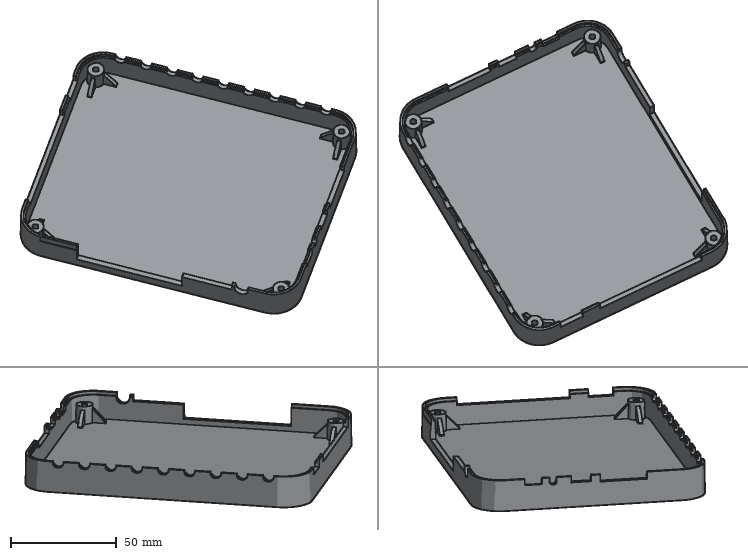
import cadquery as cq
import math

LENGTH = 138.33
WIDTH = 112.64
HEIGHT = 15.08
DRAFT = 1.0
CORNER_RADIUS = 13.8

WALL_AT_FLOOR = 2.7
FLOOR = 2.0
LIP_DEPTH = 1.5
LIP_FROM_OUTSIDE = 1.5

POST_X = 60.75
POST_Y = 47.9
POST_DIAMETER = 8.4
POST_TOP = 10.6
POST_DRAFT = 2.0
SCREW_DIAMETER = 2.8
RIB_THICKNESS = 2.1
RIB_REACH = 10.4
RIB_TOP = 8.8
RIB_TIP_HEIGHT = 0.5
RIB_DRAFT = 1.0

NOTCH_FLOOR = HEIGHT - 3.5
SHALLOW_NOTCH_FLOOR = HEIGHT - 3.0

FRONT_WINDOW_START = -37.75
FRONT_WINDOW_END = 14.25
FRONT_WINDOW_FLOOR = HEIGHT - 10.5
FRONT_NOTCH_END = 38.75
FRONT_ROUND_X = 43.5
FRONT_ROUND_DIAMETER = 6.5
FRONT_ROUND_FLOOR = HEIGHT - 5.0
FRONT_TOOTH_TOP = HEIGHT - 0.75

RELIEF_START = -55.75
RELIEF_DEPTH = 0.15

LEFT_NOTCHES = [(26.25, 38.25), (-37.25, 17.25)]

RIGHT_DEEP_NOTCH = (3.25, 25.75)
RIGHT_SHALLOW_NOTCH = (-10.75, -1.25)
RIGHT_STEPPED_NOTCH = (-33.25, -24.75)
STEPPED_NOTCH_RADIUS = 1.0
RIGHT_ROUND_Y = -19.5
RIGHT_ROUND_DIAMETER = 3.5

SCALLOP_COUNT = 9
SCALLOP_PITCH = 12.7
SCALLOP_DIAMETER = 5.25
SCALLOP_FLOOR = HEIGHT - 2.8

CUTTER_SPAN = 8.0
CLEARANCE = 1.0

WALL_SLOPE = math.tan(math.radians(DRAFT))
HALF_LENGTH = LENGTH / 2
HALF_WIDTH = WIDTH / 2
LIP_BASE = HEIGHT - LIP_DEPTH


def rounded_plate(inset, bottom, height, taper=0.0):
    """Rounded rectangle inset from the base outline, extruded upwards."""
    plate = cq.Workplane("XY", origin=(0, 0, bottom)).sketch()
    plate = plate.rect(LENGTH - 2 * inset, WIDTH - 2 * inset)
    plate = plate.vertices().fillet(CORNER_RADIUS - inset).finalize()
    return plate.extrude(height, taper=taper)


def box(x_range, y_range, z_range):
    """Axis-aligned block given by its limits."""
    size = [high - low for low, high in (x_range, y_range, z_range)]
    corner = (x_range[0], y_range[0], z_range[0])
    return cq.Workplane("XY", origin=corner).box(*size, centered=False)


def through_front(x_range, floor):
    """Notch cutter for the front wall, open at the rim."""
    y_range = (-HALF_WIDTH - CUTTER_SPAN / 2, -HALF_WIDTH + CUTTER_SPAN / 2)
    return box(x_range, y_range, (floor, HEIGHT + CLEARANCE))


def through_side(side, y_range, floor):
    """Notch cutter for the left (side = -1) or right (side = 1) wall."""
    middle = side * HALF_LENGTH
    x_range = (middle - CUTTER_SPAN / 2, middle + CUTTER_SPAN / 2)
    return box(x_range, y_range, (floor, HEIGHT + CLEARANCE))


def round_slot(plane, wall_origin, diameter, floor):
    """U-shaped cutter: half-round bottom and straight sides, open at the rim."""
    radius = diameter / 2
    top = HEIGHT + CLEARANCE
    profile = cq.Workplane(plane, origin=wall_origin).moveTo(-radius, top).lineTo(-radius, floor + radius)
    profile = profile.threePointArc((0, floor), (radius, floor + radius)).lineTo(radius, top).close()
    return profile.extrude(CUTTER_SPAN / 2, both=True)


def make_tray():
    outside = rounded_plate(0, 0, HEIGHT, DRAFT)
    cavity = rounded_plate(WALL_AT_FLOOR, FLOOR, HEIGHT, -DRAFT)
    return outside.cut(cavity)


def make_lip_step():
    """Cutter that lowers the inner part of the rim, leaving a thin outer lip."""
    return rounded_plate(LIP_FROM_OUTSIDE, LIP_BASE, HEIGHT)


def make_rib(x, y, angle):
    """Sloping rib from a post at (x, y) down to the floor, thinning upwards."""
    blade = cq.Workplane("XY", origin=(0, 0, FLOOR)).rect(2 * RIB_REACH, RIB_THICKNESS)
    blade = blade.extrude(RIB_TOP - FLOOR, taper=RIB_DRAFT)
    slope = cq.Workplane("XZ").moveTo(0, FLOOR).lineTo(RIB_REACH, FLOOR)
    slope = slope.lineTo(RIB_REACH, FLOOR + RIB_TIP_HEIGHT).lineTo(POST_DIAMETER / 2, RIB_TOP)
    slope = slope.lineTo(0, RIB_TOP).close().extrude(RIB_THICKNESS, both=True)
    rib = blade.intersect(slope)
    return rib.rotate((0, 0, 0), (0, 0, 1), angle).translate((x, y, 0))


def add_posts(tray):
    inside = rounded_plate(WALL_AT_FLOOR / 2, 0, HEIGHT)
    for side_x in (-1, 1):
        for side_y in (-1, 1):
            x = side_x * POST_X
            y = side_y * POST_Y
            base = cq.Workplane("XY", origin=(x, y, FLOOR))
            post = base.circle(POST_DIAMETER / 2).extrude(POST_TOP - FLOOR, taper=POST_DRAFT)
            post = post.union(make_rib(x, y, 90 + 90 * side_x))
            post = post.union(make_rib(x, y, -90 * side_y))
            screw_hole = base.circle(SCREW_DIAMETER / 2).extrude(HEIGHT)
            tray = tray.union(post.intersect(inside)).cut(screw_hole)
    return tray


def cut_front_wall(tray):
    tray = tray.cut(through_front((FRONT_WINDOW_START, FRONT_WINDOW_END), FRONT_WINDOW_FLOOR))
    tray = tray.cut(through_front((FRONT_WINDOW_END, FRONT_NOTCH_END), NOTCH_FLOOR))

    round_start = FRONT_ROUND_X - FRONT_ROUND_DIAMETER / 2
    tooth_outer = -HALF_WIDTH + FRONT_TOOTH_TOP * WALL_SLOPE
    tooth_inner = -HALF_WIDTH + WALL_AT_FLOOR - (FRONT_TOOTH_TOP - FLOOR) * WALL_SLOPE
    tray = tray.cut(through_front((FRONT_NOTCH_END, round_start), FRONT_TOOTH_TOP))
    tooth = box((FRONT_NOTCH_END, round_start), (tooth_outer, tooth_inner), (NOTCH_FLOOR, FRONT_TOOTH_TOP))
    tray = tray.union(tooth)

    slot = round_slot("XZ", (FRONT_ROUND_X, -HALF_WIDTH, 0), FRONT_ROUND_DIAMETER, FRONT_ROUND_FLOOR)
    tray = tray.cut(slot)

    relief_face = -HALF_WIDTH + HEIGHT * WALL_SLOPE + RELIEF_DEPTH
    relief = box((RELIEF_START, FRONT_WINDOW_START), (-HALF_WIDTH - CLEARANCE, relief_face),
                 (NOTCH_FLOOR, HEIGHT + CLEARANCE))
    return tray.cut(relief)


def cut_left_wall(tray):
    for notch in LEFT_NOTCHES:
        tray = tray.cut(through_side(-1, notch, NOTCH_FLOOR))
    return tray


def cut_right_wall(tray):
    tray = tray.cut(through_side(1, RIGHT_DEEP_NOTCH, NOTCH_FLOOR))
    tray = tray.cut(through_side(1, RIGHT_SHALLOW_NOTCH, SHALLOW_NOTCH_FLOOR))
    slot = round_slot("YZ", (HALF_LENGTH, RIGHT_ROUND_Y, 0), RIGHT_ROUND_DIAMETER, NOTCH_FLOOR)
    tray = tray.cut(slot)

    stepped = through_side(1, RIGHT_STEPPED_NOTCH, SHALLOW_NOTCH_FLOOR)
    stepped = stepped.edges("|X and <Z").fillet(STEPPED_NOTCH_RADIUS)
    inner_limit = HALF_LENGTH - LIP_FROM_OUTSIDE
    inner_step = box((inner_limit - CUTTER_SPAN / 2, inner_limit), RIGHT_STEPPED_NOTCH,
                     (NOTCH_FLOOR, HEIGHT + CLEARANCE))
    return tray.cut(stepped).cut(inner_step)


def cut_back_scallops(tray):
    for index in range(SCALLOP_COUNT):
        x = (index - (SCALLOP_COUNT - 1) / 2) * SCALLOP_PITCH
        slot = round_slot("XZ", (x, HALF_WIDTH, 0), SCALLOP_DIAMETER, SCALLOP_FLOOR)
        tray = tray.cut(slot)
    return tray


tray = make_tray().cut(make_lip_step())
tray = add_posts(tray)
tray = cut_front_wall(tray)
tray = cut_left_wall(tray)
tray = cut_right_wall(tray)
result = cut_back_scallops(tray)